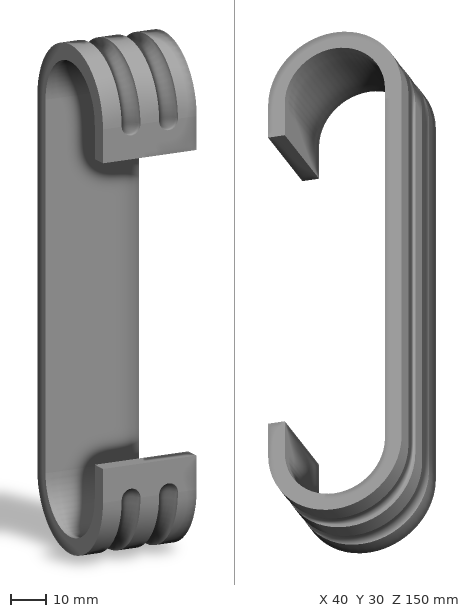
import cadquery as cq

HEIGHT = 150.0
OUTER_RADIUS = 20.0
THICKNESS = 5.0
LEG_LENGTH = 10.0
GROOVE_RADIUS = 3.0
GROOVE_COUNT = 2

GROOVE_WIDTH = 2 * GROOVE_RADIUS
GROOVE_PITCH = 2 * GROOVE_WIDTH
WIDTH = (2 * GROOVE_COUNT + 1) * GROOVE_WIDTH

INNER_RADIUS = OUTER_RADIUS - THICKNESS
BEND_Z = HEIGHT / 2 - OUTER_RADIUS
TIP_Z = BEND_Z - LEG_LENGTH


def hook_strip():
    """C-shaped strip with two half-round hooks opening toward +X."""
    profile = (
        cq.Workplane("XZ")
        .moveTo(OUTER_RADIUS, TIP_Z)
        .lineTo(OUTER_RADIUS, BEND_Z)
        .threePointArc((0, BEND_Z + OUTER_RADIUS), (-OUTER_RADIUS, BEND_Z))
        .lineTo(-OUTER_RADIUS, -BEND_Z)
        .threePointArc((0, -BEND_Z - OUTER_RADIUS), (OUTER_RADIUS, -BEND_Z))
        .lineTo(OUTER_RADIUS, -TIP_Z)
        .lineTo(INNER_RADIUS, -TIP_Z)
        .lineTo(INNER_RADIUS, -BEND_Z)
        .threePointArc((0, -BEND_Z - INNER_RADIUS), (-INNER_RADIUS, -BEND_Z))
        .lineTo(-INNER_RADIUS, BEND_Z)
        .threePointArc((0, BEND_Z + INNER_RADIUS), (INNER_RADIUS, BEND_Z))
        .lineTo(INNER_RADIUS, TIP_Z)
        .close()
    )
    return profile.extrude(WIDTH / 2, both=True)


def groove_cutter(y):
    """Ball-ended round bar along the outer face, from one end of the bends to the other."""
    path = (
        cq.Workplane("XZ", origin=(0, y, 0))
        .moveTo(OUTER_RADIUS, BEND_Z)
        .threePointArc((0, BEND_Z + OUTER_RADIUS), (-OUTER_RADIUS, BEND_Z))
        .lineTo(-OUTER_RADIUS, -BEND_Z)
        .threePointArc((0, -BEND_Z - OUTER_RADIUS), (OUTER_RADIUS, -BEND_Z))
    )
    section = cq.Workplane("XY", origin=(OUTER_RADIUS, y, BEND_Z)).circle(GROOVE_RADIUS)
    cutter = section.sweep(path)
    for end_z in (BEND_Z, -BEND_Z):
        ball = cq.Workplane("XY", origin=(OUTER_RADIUS, y, end_z)).sphere(GROOVE_RADIUS)
        cutter = cutter.union(ball)
    return cutter


result = hook_strip()
for index in range(GROOVE_COUNT):
    groove_y = (index - (GROOVE_COUNT - 1) / 2) * GROOVE_PITCH
    result = result.cut(groove_cutter(groove_y))